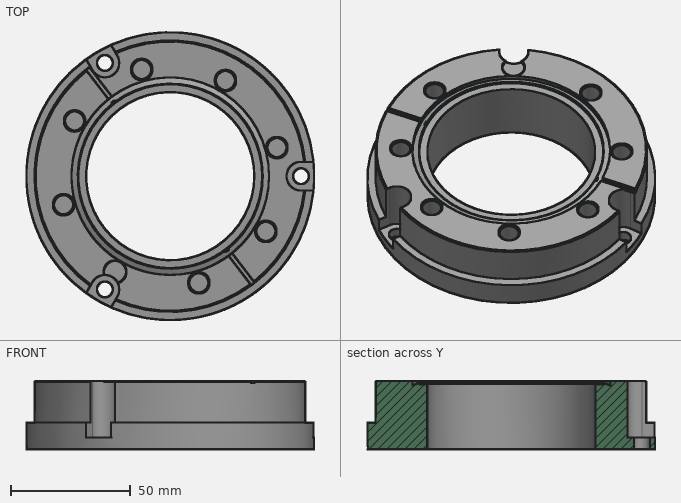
import cadquery as cq
import math

height = 28.5
flange_diameter = 120.0
flange_height = 11.2
body_diameter = 113.2
body_edge_chamfer = 0.5

bore_diameter = 70.0
rim_diameter = 76.5
rim_depth = 1.3
lip_inner_diameter = 77.2
lip_inner_depth = 0.7
lip_outer_diameter = 82.3
lip_outer_depth = 1.8

tapped_circle_diameter = 92.0
tapped_count = 8
tapped_first_angle = 15.0
tapped_diameter = 7.9
tapped_chamfer_diameter = 9.0
tapped_depth = 18.0
pad_angle = 240.0
pad_diameter = 9.1
pad_chamfer_diameter = 9.6
pad_depth = 0.5

mount_circle_diameter = 109.0
mount_angles = (0.0, 120.0, 240.0)
mount_diameter = 6.5
counterbore_diameter = 12.0
counterbore_floor = 5.0

groove_angles = (127.5, 307.5)
groove_width = 1.8
groove_depth = 1.0


def cylinder(diameter, bottom, top):
    """Upright cylinder on the Z axis between two heights."""
    return cq.Workplane("XY").workplane(offset=bottom).circle(diameter / 2).extrude(top - bottom)


def cone(bottom_diameter, top_diameter, bottom, top):
    """Upright frustum on the Z axis between two heights."""
    base = cq.Vector(0, 0, bottom)
    solid = cq.Solid.makeCone(bottom_diameter / 2, top_diameter / 2, top - bottom, pnt=base)
    return cq.Workplane(obj=solid)


def place(shape, angle, radius=0.0):
    """Move a shape out along X, then turn it about the Z axis."""
    return shape.translate((radius, 0, 0)).rotate((0, 0, 0), (0, 0, 1), angle)


def make_body():
    """Flange with a narrower ring standing on it, chamfered at the top."""
    upper_ring = cylinder(body_diameter, 0, height).faces(">Z").chamfer(body_edge_chamfer)
    return cylinder(flange_diameter, 0, flange_height).union(upper_ring)


def make_bore():
    """Space removed at the centre, drawn as half a cross-section and revolved about Z."""
    bore_radius = bore_diameter / 2
    lip_outer_radius = lip_outer_diameter / 2
    half_section = [
        (0, 0),
        (bore_radius, 0),
        (bore_radius, height - rim_depth),
        (rim_diameter / 2, height - rim_depth),
        (lip_inner_diameter / 2, height - lip_inner_depth),
        (lip_outer_radius, height - lip_outer_depth),
        (lip_outer_radius, height),
        (0, height),
    ]
    return cq.Workplane("XZ").polyline(half_section).close().revolve(360, (0, 0, 0), (0, 1, 0))


def make_chamfered_hole(diameter, chamfer_diameter, depth):
    """Blind hole in the top face with a 45 degree chamfer at its mouth."""
    chamfer_depth = (chamfer_diameter - diameter) / 2
    chamfer = cone(diameter, chamfer_diameter, height - chamfer_depth, height)
    return cylinder(diameter, height - depth, height).union(chamfer)


def make_radial_bar(width, bottom):
    """Bar from the origin out along X to the flange edge, reaching up to the top face."""
    length = flange_diameter / 2
    return (
        cq.Workplane("XY")
        .workplane(offset=bottom)
        .center(length / 2, 0)
        .rect(length, width)
        .extrude(height - bottom)
    )


def make_mount_hole():
    """Through hole with a counterbore and a slot that opens it to the outside."""
    slot = make_radial_bar(counterbore_diameter, counterbore_floor)
    counterbore = cylinder(counterbore_diameter, counterbore_floor, height)
    return cylinder(mount_diameter, 0, height).union(counterbore).union(slot)


result = make_body().cut(make_bore())

for index in range(tapped_count):
    angle = tapped_first_angle + index * 360 / tapped_count
    if math.isclose(angle, pad_angle):
        cutter = make_chamfered_hole(pad_diameter, pad_chamfer_diameter, pad_depth)
    else:
        cutter = make_chamfered_hole(tapped_diameter, tapped_chamfer_diameter, tapped_depth)
    result = result.cut(place(cutter, angle, tapped_circle_diameter / 2))

for angle in mount_angles:
    result = result.cut(place(make_mount_hole(), angle, mount_circle_diameter / 2))

for angle in groove_angles:
    result = result.cut(place(make_radial_bar(groove_width, height - groove_depth), angle))